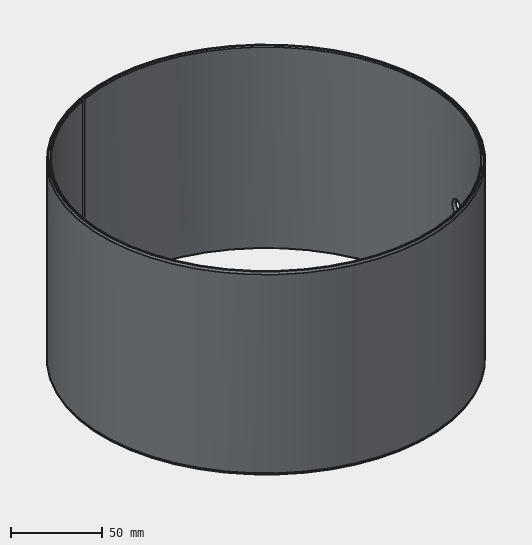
import cadquery as cq

outer_diameter = 240.0
wall = 2.5
height = 130.0
outer_chamfer_height = 1.5
inner_chamfer_height = 0.7
chamfer_depth = 0.7
gap_width = 2.0
gap_center_y = gap_width / 2
hole_diameter = 10.0
hole_angle = 59.0

outer_radius = outer_diameter / 2
inner_radius = outer_radius - wall


def ring_body():
    """Revolve the wall section, with both rims chamfered inside and out, about Z."""
    top = height / 2
    outer_shoulder = top - outer_chamfer_height
    inner_shoulder = top - inner_chamfer_height
    outer_rim = outer_radius - chamfer_depth
    inner_rim = inner_radius + chamfer_depth
    section = [
        (inner_rim, -top),
        (outer_rim, -top),
        (outer_radius, -outer_shoulder),
        (outer_radius, outer_shoulder),
        (outer_rim, top),
        (inner_rim, top),
        (inner_radius, inner_shoulder),
        (inner_radius, -inner_shoulder),
    ]
    return cq.Workplane("XZ").polyline(section).close().revolve(360, (0, 0), (0, 1))


def gap_cutter():
    """Slot through the -X side over the full height, with one face on the XZ plane."""
    slot = cq.Workplane("XY").box(4 * wall, gap_width, 2 * height)
    return slot.translate((-outer_radius, gap_center_y, 0))


def hole_cutter():
    """Radial hole through one side of the wall at mid height."""
    drill = cq.Workplane("YZ").circle(hole_diameter / 2).extrude(2 * outer_radius)
    return drill.rotate((0, 0, 0), (0, 0, 1), hole_angle)


result = ring_body().cut(gap_cutter()).cut(hole_cutter())